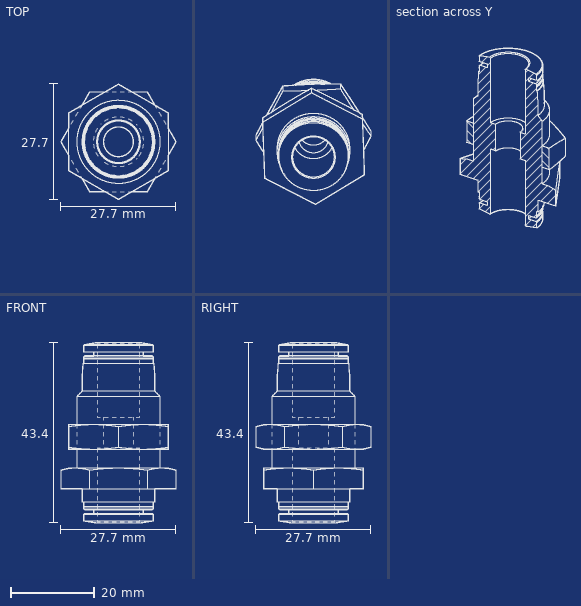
import cadquery as cq
import math


length = 43.4

across_flats = 24.0
across_corners = across_flats / math.cos(math.radians(30))
hex_face_diameter = 23.75
hex_chamfer_angle = 15.0
fixed_hex_bottom = 8.25
fixed_hex_height = 5.0
nut_bottom = 17.7
nut_height = 6.0

barrel_radius = 20.0 / 2
barrel_top = 30.45

sleeve_radius = 17.5 / 2
shoulder_top = barrel_top + barrel_radius - sleeve_radius
taper_start = 35.4
taper_end_radius = 17.1 / 2

end_radius = 16.8 / 2
sleeve_end_inset = 5.05
groove_inset = 3.93
groove_half_width = 0.07
groove_depth = 0.1
ring_end_inset = 3.14
ring_chamfer = 0.3
neck_radius = 12.0 / 2
disc_inner_inset = 2.3
disc_outer_inset = 0.53
disc_chamfer = 0.2

tube_radius = 10.0 / 2
mouth_radius = 10.5 / 2
mouth_chamfer = mouth_radius - tube_radius
tube_depth = 18.0
through_radius = 7.1 / 2


def revolve(profile):
    """Solid of revolution about Z from closed (radius, z) points."""
    return cq.Workplane("XZ").polyline(profile).close().revolve(360, (0, 0), (0, 1))


def hex_prism(bottom, height, first_corner_angle, chamfer_bottom):
    """Hex prism with conical corner chamfers on top and, if asked, below."""
    prism = (
        cq.Workplane("XY", origin=(0, 0, bottom))
        .transformed(rotate=(0, 0, first_corner_angle))
        .polygon(6, across_corners)
        .extrude(height)
    )
    face_radius = hex_face_diameter / 2
    rim_radius = across_corners / 2 + 1
    drop = (rim_radius - face_radius) * math.tan(math.radians(hex_chamfer_angle))
    top = bottom + height
    profile = [(0, top), (face_radius, top), (rim_radius, top - drop)]
    if chamfer_bottom:
        profile += [(rim_radius, bottom + drop), (face_radius, bottom)]
    else:
        profile += [(rim_radius, bottom)]
    profile += [(0, bottom)]
    return prism.intersect(revolve(profile))


def sleeve_end_profile():
    """Outline (radius, inset) from the sleeve end to the neck."""
    return [
        (end_radius, sleeve_end_inset),
        (end_radius, groove_inset + groove_half_width),
        (end_radius - groove_depth, groove_inset),
        (end_radius, groove_inset - groove_half_width),
        (end_radius, ring_end_inset + ring_chamfer),
        (end_radius - ring_chamfer, ring_end_inset),
        (neck_radius, ring_end_inset),
        (neck_radius, disc_inner_inset),
    ]


def body_outline():
    """Outer turned outline, from the top of the axis down to the bottom."""
    top_disc = [
        (0, length),
        (mouth_radius, length),
        (end_radius - disc_chamfer, length - disc_outer_inset),
        (end_radius, length - disc_outer_inset - disc_chamfer),
        (end_radius, length - disc_inner_inset),
    ]
    upper_end = [(radius, length - inset) for radius, inset in reversed(sleeve_end_profile())]
    middle = [
        (taper_end_radius, length - sleeve_end_inset),
        (sleeve_radius, taper_start),
        (sleeve_radius, shoulder_top),
        (barrel_radius, barrel_top),
        (barrel_radius, fixed_hex_bottom),
        (sleeve_radius, fixed_hex_bottom),
        (sleeve_radius, sleeve_end_inset),
    ]
    bottom_disc = [
        (end_radius - disc_chamfer, disc_inner_inset),
        (end_radius, disc_inner_inset - disc_chamfer),
        (end_radius, disc_outer_inset),
        (mouth_radius, 0),
        (0, 0),
    ]
    return top_disc + upper_end + middle + sleeve_end_profile() + bottom_disc


def bore():
    """Tube sockets from both ends joined by a narrower through hole."""
    return revolve([
        (0, 0),
        (mouth_radius, 0),
        (tube_radius, mouth_chamfer),
        (tube_radius, tube_depth),
        (through_radius, tube_depth),
        (through_radius, length - tube_depth),
        (tube_radius, length - tube_depth),
        (tube_radius, length - mouth_chamfer),
        (mouth_radius, length),
        (0, length),
    ])


def make_body():
    fixed_hex = hex_prism(fixed_hex_bottom, fixed_hex_height, 0, chamfer_bottom=False)
    return revolve(body_outline()).union(fixed_hex).cut(bore())


def make_nut():
    blank = hex_prism(nut_bottom, nut_height, 30, chamfer_bottom=True)
    hole = cq.Workplane("XY", origin=(0, 0, nut_bottom)).circle(barrel_radius).extrude(nut_height)
    return blank.cut(hole)


body = make_body()
nut = make_nut()

result = cq.Compound.makeCompound([body.solids().val(), nut.solids().val()])